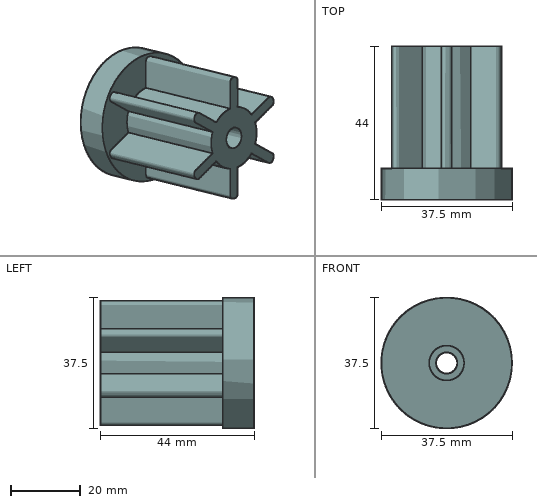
import cadquery as cq

total_length = 44.0
flange_diameter = 37.5
flange_thickness = 9.0
hub_diameter = 18.0
rib_count = 6
rib_tip_radius = 17.85
rib_thickness = 3.0
rib_edge_radius = 1.25
bore_diameter = 6.0
counterbore_diameter = 10.0
counterbore_depth = flange_thickness

rear_face = total_length / 2
front_face = -rear_face
flange_back = front_face + flange_thickness


def cylinder_along_y(diameter, start, end):
    """Solid cylinder on the Y axis from start to end."""
    return cq.Workplane("XZ", origin=(0, start, 0)).circle(diameter / 2).extrude(start - end)


def make_rib(angle):
    """Radial rib with rounded outer edges, turned about the Y axis."""
    rib_length = total_length - flange_thickness / 2
    rib = (
        cq.Workplane("XY")
        .box(rib_thickness, rib_length, rib_tip_radius, centered=(True, False, False))
        .edges("|Y and >Z")
        .fillet(rib_edge_radius)
        .translate((0, rear_face - rib_length, 0))
    )
    return rib.rotate((0, 0, 0), (0, 1, 0), angle)


body = cylinder_along_y(flange_diameter, front_face, flange_back)
body = body.union(cylinder_along_y(hub_diameter, front_face, rear_face))
for rib_index in range(rib_count):
    body = body.union(make_rib(rib_index * 360 / rib_count))

body = body.cut(cylinder_along_y(bore_diameter, front_face, rear_face))
result = body.cut(
    cylinder_along_y(counterbore_diameter, front_face, front_face + counterbore_depth)
)